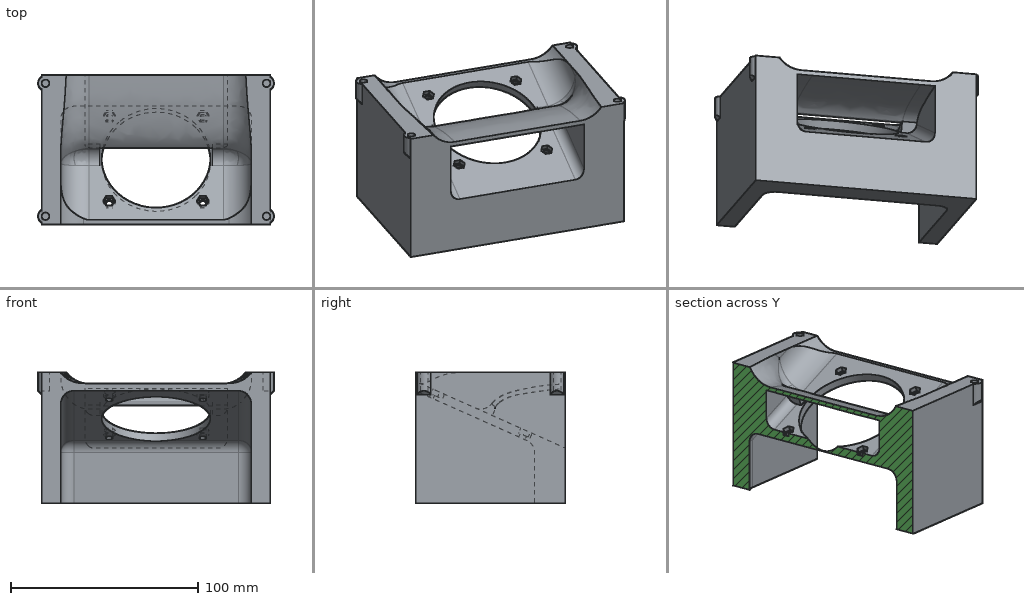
import cadquery as cq
import math

TOTAL_WIDTH = 126.0
BLOCK_WIDTH = 122.0
BLOCK_DEPTH = 80.0
BLOCK_HEIGHT = 70.0
SIDE_WALL = 10.1
INNER_WIDTH = BLOCK_WIDTH - 2 * SIDE_WALL
OVERSHOOT = 12.6
CUT_TOP_Z = BLOCK_HEIGHT + OVERSHOOT

PLATE_TILT = 24.0
PLATE_THICKNESS = 4.7
UNDERSIDE_DROP = 10.0
TILT_SLOPE = math.tan(math.radians(PLATE_TILT))
UNDERSIDE_FRONT_Z = BLOCK_HEIGHT - UNDERSIDE_DROP
FLOOR_FRONT_Z = UNDERSIDE_FRONT_Z + PLATE_THICKNESS / math.cos(math.radians(PLATE_TILT))

ROOM_DEPTH = 63.4
ROOM_FILLET = 6.9

TROUGH_FILLET = 15.0
RIM_DROP = 6.0
RIM_Z = BLOCK_HEIGHT - RIM_DROP
RIM_ARC_REACH = math.sqrt(RIM_DROP * (2 * TROUGH_FILLET - RIM_DROP))
RIM_HALF_WIDTH = INNER_WIDTH / 2 - RIM_ARC_REACH + TROUGH_FILLET
RIM_CUT_LENGTH = 21.4
LIP_Y = 41.2
LIP_Z = 54.2
LIP_SLOPE = 50.0
REAR_SLOPE = 4.0
RAMP_MIDDLE = (60.5, 61.7)
RAMP_CURVE_END = 0.6
RAMP_FOOT = 18.9
CREASE_FILLET = 7.4

SLOT_WIDTH = 60.0
SLOT_FRONT_Y = 27.7
DUCT_WIDTH = 76.1
DUCT_FRONT_Y = 41.0
DUCT_FILLET = 5.0
RAMP_SHELL = 2.5

FAN_CENTRE_Y = 35.7
FAN_BORE = 58.0
SCREW_PITCH = 50.0
SCREW_HOLE = 3.7
NUT_ACROSS_FLATS = 5.5
NUT_DEPTH = 2.8

LUG_RADIUS = 4.0
LUG_X = TOTAL_WIDTH / 2 - LUG_RADIUS
LUG_INSET = 4.5
LUG_TIP_HEIGHT = 10.0
LUG_HOLE = 4.0
LUG_HOLE_DEPTH = 10.0


def floor_z(y):
    return FLOOR_FRONT_Z - TILT_SLOPE * y


def underside_z(y):
    return UNDERSIDE_FRONT_Z - TILT_SLOPE * y


def direction(slope):
    """Unit vector in the YZ plane that rises towards the rear at the given angle."""
    return (math.cos(math.radians(slope)), math.sin(math.radians(slope)))


def yz_prism(outline, width):
    """Extrude an open YZ outline, closed by a straight line, centred on x = 0."""
    return outline.close().extrude(width).translate((-width / 2, 0, 0))


def yz_start(y, z):
    return cq.Workplane("YZ").moveTo(y, z)


def under_plate_room():
    room = yz_prism(
        yz_start(-OVERSHOOT, -OVERSHOOT)
        .lineTo(ROOM_DEPTH, -OVERSHOOT)
        .lineTo(ROOM_DEPTH, underside_z(ROOM_DEPTH))
        .lineTo(-OVERSHOOT, underside_z(-OVERSHOOT)),
        INNER_WIDTH,
    )
    rear_corners = room.edges("|Z and >Y")
    ceiling_edges = room.faces(">Z").edges("not <Y")
    return rear_corners.add(ceiling_edges).fillet(ROOM_FILLET)


def above_floor():
    rear = BLOCK_DEPTH + OVERSHOOT
    space = yz_prism(
        yz_start(-OVERSHOOT, floor_z(-OVERSHOOT))
        .lineTo(rear, floor_z(rear))
        .lineTo(rear, CUT_TOP_Z)
        .lineTo(-OVERSHOOT, CUT_TOP_Z),
        INNER_WIDTH,
    )
    return space.faces("<Z").edges("<X or >X").fillet(TROUGH_FILLET)


def above_ramp():
    along_y, along_z = direction(LIP_SLOPE)
    curve_end = (LIP_Y - RAMP_CURVE_END * along_y, LIP_Z - RAMP_CURVE_END * along_z)
    foot_y = LIP_Y - RAMP_FOOT * along_y
    foot_z = LIP_Z - RAMP_FOOT * along_z
    space = yz_prism(
        yz_start(foot_y, foot_z)
        .lineTo(*curve_end)
        .spline(
            [(LIP_Y, LIP_Z), RAMP_MIDDLE, (BLOCK_DEPTH, RIM_Z)],
            tangents=[direction(LIP_SLOPE), direction(REAR_SLOPE)],
            includeCurrent=True,
        )
        .lineTo(BLOCK_DEPTH, CUT_TOP_Z)
        .lineTo(-OVERSHOOT, CUT_TOP_Z)
        .lineTo(-OVERSHOOT, foot_z),
        INNER_WIDTH,
    )
    ramp_sides = cq.selectors.BoxSelector(
        (-INNER_WIDTH, foot_y, foot_z), (INNER_WIDTH, BLOCK_DEPTH - 1.3, RIM_Z)
    )
    return space.edges("<X or >X").edges(ramp_sides).fillet(TROUGH_FILLET)


def trough():
    space = above_floor().intersect(above_ramp())
    lip_slope = math.tan(math.radians(LIP_SLOPE))
    crease_y = LIP_Y - (LIP_Z - floor_z(LIP_Y)) / (lip_slope + TILT_SLOPE)
    crease = cq.selectors.NearestToPointSelector((0, crease_y, floor_z(crease_y)))
    return space.edges(crease).fillet(CREASE_FILLET)


def front_rim_cut():
    cut = cq.Workplane().box(
        2 * RIM_HALF_WIDTH, RIM_CUT_LENGTH, TROUGH_FILLET + OVERSHOOT, centered=(True, False, False)
    )
    return cut.edges("|Y and <Z").fillet(TROUGH_FILLET).translate((0, 0, RIM_Z))


def duct():
    lip_y, lip_z = direction(LIP_SLOPE)
    nose = (LIP_Y + RAMP_SHELL / 2 * (lip_z - lip_y), LIP_Z - RAMP_SHELL / 2 * (lip_y + lip_z))
    shell_middle = (RAMP_MIDDLE[0], RAMP_MIDDLE[1] - RAMP_SHELL)
    shell_end = (LIP_Y + RAMP_SHELL * lip_z, LIP_Z - RAMP_SHELL * lip_y)

    def floor_and_roof(front_y):
        return (
            yz_start(front_y, floor_z(front_y))
            .lineTo(BLOCK_DEPTH, floor_z(BLOCK_DEPTH))
            .lineTo(BLOCK_DEPTH, RIM_Z - RAMP_SHELL)
            .spline(
                [shell_middle, shell_end],
                tangents=[direction(REAR_SLOPE + 180), direction(LIP_SLOPE + 180)],
                includeCurrent=True,
            )
        )

    slot = yz_prism(
        floor_and_roof(SLOT_FRONT_Y)
        .threePointArc(nose, (LIP_Y, LIP_Z))
        .lineTo(LIP_Y, BLOCK_HEIGHT)
        .lineTo(SLOT_FRONT_Y, BLOCK_HEIGHT),
        SLOT_WIDTH,
    )
    chamber = yz_prism(floor_and_roof(DUCT_FRONT_Y), DUCT_WIDTH)
    chamber = chamber.faces("<Z").edges("<X or >X").fillet(DUCT_FILLET)
    return slot.union(chamber)


def fan_cuts():
    """Bore, screw holes and nut pockets, drawn on the upper face of the plate."""
    face = cq.Workplane(
        cq.Plane(
            origin=(0, FAN_CENTRE_Y, floor_z(FAN_CENTRE_Y)),
            xDir=(1, 0, 0),
            normal=(0, *direction(90 - PLATE_TILT)),
        )
    )
    through = -2 * PLATE_THICKNESS
    bore = face.circle(FAN_BORE / 2).extrude(through)
    screws = face.rect(SCREW_PITCH, SCREW_PITCH, forConstruction=True).vertices()
    holes = screws.circle(SCREW_HOLE / 2).extrude(through)
    nut_across_corners = NUT_ACROSS_FLATS / math.cos(math.radians(30))
    nut = cq.Sketch().regularPolygon(nut_across_corners / 2, 6, 30)
    nuts = screws.placeSketch(nut).extrude(-NUT_DEPTH)
    return bore.union(holes).union(nuts)


def lug(side, y):
    """Round lug whose lower end slopes into the side wall at 45 degrees."""
    reach = 2 * LUG_RADIUS
    tip_z = BLOCK_HEIGHT - LUG_TIP_HEIGHT
    post = (
        cq.Workplane("XY", origin=(side * LUG_X, y, tip_z - reach))
        .circle(LUG_RADIUS)
        .extrude(LUG_TIP_HEIGHT + reach)
    )
    tip_x = side * TOTAL_WIDTH / 2
    below = (
        cq.Workplane("XZ", origin=(0, y + LUG_RADIUS, 0))
        .polyline([(tip_x, tip_z), (tip_x - side * reach, tip_z - reach), (tip_x, tip_z - reach)])
        .close()
        .extrude(2 * LUG_RADIUS)
    )
    return post.cut(below)


block = cq.Workplane().box(BLOCK_WIDTH, BLOCK_DEPTH, BLOCK_HEIGHT, centered=(True, False, False))
result = block.cut(under_plate_room()).cut(trough()).cut(front_rim_cut()).cut(duct()).cut(fan_cuts())

lug_places = [(side, y) for side in (-1, 1) for y in (LUG_INSET, BLOCK_DEPTH - LUG_INSET)]
for side, y in lug_places:
    result = result.union(lug(side, y))
for side, y in lug_places:
    hole_bottom = (side * LUG_X, y, BLOCK_HEIGHT - LUG_HOLE_DEPTH)
    hole = cq.Workplane("XY", origin=hole_bottom).circle(LUG_HOLE / 2).extrude(LUG_HOLE_DEPTH)
    result = result.cut(hole)